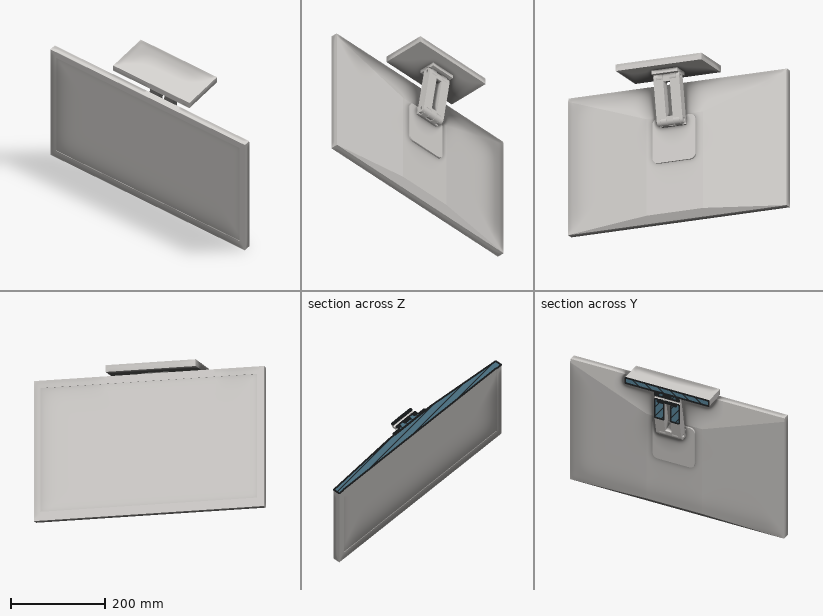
import cadquery as cq
import math


MONITOR_WIDTH = 510.0
MONITOR_HEIGHT = 305.0
FRAME_DEPTH = 17.0
TOP_EDGE_DEPTH = 15.5
MONITOR_BACK = 30.0
BACK_WIDTH = 132.5
BACK_BOTTOM = 15.0
BACK_TOP = 230.0
SCREEN_WIDTH = 480.5
SCREEN_HEIGHT = 269.5
SCREEN_BOTTOM = 19.5
SCREEN_RECESS = 1.0

BOARD_WIDTH = 200.0
BOARD_DEPTH = 100.0
BOARD_THICKNESS = 15.0
BOARD_TOP = 332.5
BOARD_BACK = 113.0

HINGE_WIDTH = 60.0
KNUCKLE_RADIUS = 9.0
PIN_HOLE_DIAMETER = 7.5
LUG_THICKNESS = 14.0
LUG_SLOT_WIDTH = 15.0
LUG_SPACING = 30.0
CLEARANCE_RADIUS = 10.0
HINGE_OFFSET = 13.5

BRACKET_DEPTH = 37.0
BRACKET_BASE_THICKNESS = 8.0

PLATE_SIZE = 100.0
PLATE_THICKNESS = 4.0
PLATE_CORNER_RADIUS = 12.0
PLATE_BOTTOM = 127.0
LOWER_HINGE_Z = 213.0
PLATE_BASE_THICKNESS = 5.0

UPPER_HINGE_Y = 65.5
ARM_SLOT_WIDTH = 15.5

BOARD_BOTTOM = BOARD_TOP - BOARD_THICKNESS
PLATE_BACK = MONITOR_BACK + PLATE_THICKNESS
UPPER_HINGE_Z = BOARD_BOTTOM - HINGE_OFFSET
LOWER_HINGE_Y = PLATE_BACK + HINGE_OFFSET
ARM_LENGTH = math.hypot(UPPER_HINGE_Y - LOWER_HINGE_Y, UPPER_HINGE_Z - LOWER_HINGE_Z)
ARM_TILT = math.degrees(math.atan2(UPPER_HINGE_Y - LOWER_HINGE_Y, UPPER_HINGE_Z - LOWER_HINGE_Z))


def block(width, y_min, y_max, z_min, z_max, x_middle=0.0):
    """Box given by its width in X and its limits in Y and Z."""
    box = cq.Workplane("XY").box(width, y_max - y_min, z_max - z_min)
    return box.translate((x_middle, (y_min + y_max) / 2, (z_min + z_max) / 2))


def x_cylinder(radius, width, x_middle=0.0):
    """Cylinder along X through Y = Z = 0."""
    return cq.Workplane("YZ", origin=(x_middle - width / 2, 0, 0)).circle(radius).extrude(width)


def make_monitor():
    """Housing whose back slopes to all four edges, as the overlap of a side and a plan profile."""
    side_profile = [
        (0, 0),
        (0, MONITOR_HEIGHT),
        (TOP_EDGE_DEPTH, MONITOR_HEIGHT),
        (MONITOR_BACK, BACK_TOP),
        (MONITOR_BACK, BACK_BOTTOM),
        (FRAME_DEPTH, 0),
    ]
    plan_profile = [
        (-MONITOR_WIDTH / 2, 0),
        (MONITOR_WIDTH / 2, 0),
        (MONITOR_WIDTH / 2, FRAME_DEPTH),
        (BACK_WIDTH / 2, MONITOR_BACK),
        (-BACK_WIDTH / 2, MONITOR_BACK),
        (-MONITOR_WIDTH / 2, FRAME_DEPTH),
    ]
    left_side = cq.Workplane("YZ", origin=(-MONITOR_WIDTH / 2, 0, 0))
    sloped_top_and_bottom = left_side.polyline(side_profile).close().extrude(MONITOR_WIDTH)
    sloped_sides = cq.Workplane("XY").polyline(plan_profile).close().extrude(MONITOR_HEIGHT)
    screen = block(SCREEN_WIDTH, 0, SCREEN_RECESS, SCREEN_BOTTOM, SCREEN_BOTTOM + SCREEN_HEIGHT)
    return sloped_top_and_bottom.intersect(sloped_sides).cut(screen)


def make_board():
    return block(BOARD_WIDTH, BOARD_BACK - BOARD_DEPTH, BOARD_BACK, BOARD_BOTTOM, BOARD_TOP)


def make_hinge_mount(base_depth, base_thickness):
    """Base with two lugs hanging from Z = HINGE_OFFSET, with the hinge axis on Y = Z = 0."""
    base = block(HINGE_WIDTH, -base_depth / 2, base_depth / 2, HINGE_OFFSET - base_thickness, HINGE_OFFSET)
    mount = base.cut(x_cylinder(CLEARANCE_RADIUS, HINGE_WIDTH))
    for side in (-1, 1):
        lug_x = side * LUG_SPACING / 2
        mount = mount.union(block(LUG_THICKNESS, -KNUCKLE_RADIUS, KNUCKLE_RADIUS, 0, HINGE_OFFSET, lug_x))
        mount = mount.union(x_cylinder(KNUCKLE_RADIUS, LUG_THICKNESS, lug_x))
    return mount.cut(x_cylinder(PIN_HOLE_DIAMETER / 2, HINGE_WIDTH))


def make_bracket():
    mount = make_hinge_mount(BRACKET_DEPTH, BRACKET_BASE_THICKNESS)
    return mount.translate((0, UPPER_HINGE_Y, UPPER_HINGE_Z))


def make_plate():
    plate = block(PLATE_SIZE, MONITOR_BACK, PLATE_BACK, PLATE_BOTTOM, PLATE_BOTTOM + PLATE_SIZE)
    plate = plate.edges("|Y").fillet(PLATE_CORNER_RADIUS)
    mount = make_hinge_mount(2 * KNUCKLE_RADIUS, PLATE_BASE_THICKNESS).rotate((0, 0, 0), (1, 0, 0), 90)
    return plate.union(mount.translate((0, LOWER_HINGE_Y, LOWER_HINGE_Z)))


def make_arm():
    """Arm built upright from its lower hinge axis, then tilted back onto the upper hinge axis."""
    arm = block(HINGE_WIDTH, -KNUCKLE_RADIUS, KNUCKLE_RADIUS, 0, ARM_LENGTH)
    slot_top = ARM_LENGTH - KNUCKLE_RADIUS
    arm = arm.cut(block(ARM_SLOT_WIDTH, -KNUCKLE_RADIUS, KNUCKLE_RADIUS, KNUCKLE_RADIUS, slot_top))
    for hinge_z in (0, ARM_LENGTH):
        arm = arm.union(x_cylinder(KNUCKLE_RADIUS, HINGE_WIDTH).translate((0, 0, hinge_z)))
        arm = arm.cut(x_cylinder(PIN_HOLE_DIAMETER / 2, HINGE_WIDTH).translate((0, 0, hinge_z)))
        for side in (-1, 1):
            lug_slot = x_cylinder(CLEARANCE_RADIUS, LUG_SLOT_WIDTH, side * LUG_SPACING / 2)
            arm = arm.cut(lug_slot.translate((0, 0, hinge_z)))

    for side in (-1, 1):
        lug_x = side * LUG_SPACING / 2
        arm = arm.cut(block(LUG_SLOT_WIDTH, -KNUCKLE_RADIUS, 0, 0, CLEARANCE_RADIUS, lug_x))

    return arm.rotate((0, 0, 0), (1, 0, 0), -ARM_TILT).translate((0, LOWER_HINGE_Y, LOWER_HINGE_Z))


monitor = make_monitor()
board = make_board()
bracket = make_bracket()
plate = make_plate()
arm = make_arm()

bodies = [monitor, board, bracket, plate, arm]
result = cq.Compound.makeCompound([body.solids().val() for body in bodies])